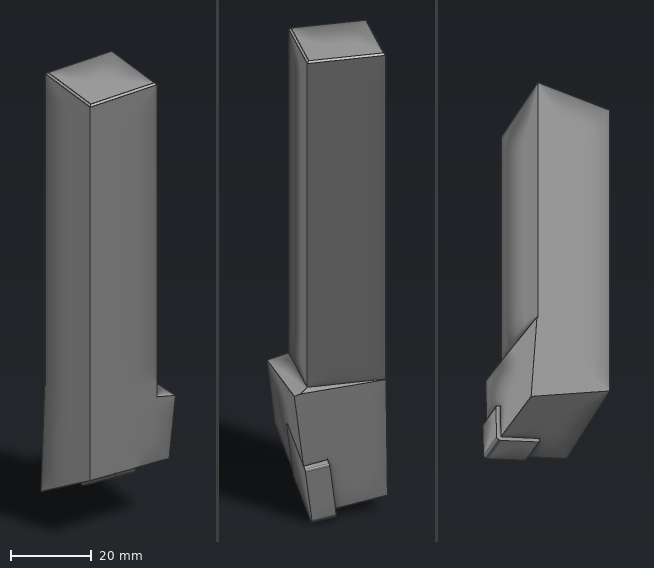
import cadquery as cq
import math

shank_width = 20.0
overall_length = 125.0
end_chamfer = 0.5

head_top = 35.3
ledge_fall = 0.25
side_offset = 0.3
side_lead = math.tan(math.radians(3))
side_relief = math.tan(math.radians(5))
end_height = 17.8
end_slope = math.tan(math.radians(32))
end_relief = 0.055
rake_corner = (shank_width, 25.5, 33.9)
rake_lean_x = 0.075
rake_lean_z = 0.11

insert_angle = 55.0
insert_inscribed_diameter = 12.5
insert_thickness = 6.4
nose_radius = 0.8
nose_x = -4.2
nose_z = 0.8
insert_lead = 3.0

cutter_size = 375.0
rake_normal = cq.Vector(-rake_lean_x, 1, -rake_lean_z)


def trim(body, point, outward):
    """Remove everything on the outward side of a plane."""
    plane = cq.Plane(origin=point, normal=outward)
    cutter = cq.Workplane(plane).rect(cutter_size, cutter_size).extrude(cutter_size)
    return body.cut(cutter)


def rake_y(x, z):
    """Y of the rake face at the given X and Z."""
    corner_x, corner_y, corner_z = rake_corner
    return corner_y + rake_lean_x * (x - corner_x) + rake_lean_z * (z - corner_z)


def make_head():
    margin = shank_width / 2
    head = cq.Workplane("XY").box(
        shank_width + margin, shank_width + margin, head_top, centered=False
    ).translate((-margin, 0, 0))
    head = trim(head, (-side_offset, 0, head_top), (-1, -side_relief, side_lead))
    head = trim(head, rake_corner, rake_normal)
    head = trim(head, (0, 0, head_top), (-ledge_fall, 0, 1))
    return trim(head, (0, shank_width, head_top), (0, ledge_fall, 1))


def make_shank():
    shank = cq.Workplane("XY").box(shank_width, shank_width, overall_length, centered=False)
    return shank.faces(">Z").chamfer(end_chamfer)


def make_insert():
    plane = cq.Plane(
        origin=(nose_x, rake_y(nose_x, nose_z), nose_z),
        xDir=(-1, -rake_lean_x, 0),
        normal=rake_normal,
    )
    side = insert_inscribed_diameter / math.sin(math.radians(insert_angle))
    upper = math.radians(insert_lead)
    lower = math.radians(insert_lead + insert_angle)
    middle = (upper + lower) / 2
    tip_setback = nose_radius / math.sin(math.radians(insert_angle / 2))
    tip = cq.Vector(tip_setback * math.sin(middle), -tip_setback * math.cos(middle))
    upper_edge = cq.Vector(-side * math.sin(upper), side * math.cos(upper))
    lower_edge = cq.Vector(-side * math.sin(lower), side * math.cos(lower))
    corners = [tip, tip + upper_edge, tip + upper_edge + lower_edge, tip + lower_edge]
    plate = cq.Workplane(plane).polyline([(c.x, c.y) for c in corners]).close()
    plate = plate.extrude(-insert_thickness)
    return plate.edges(cq.selectors.ParallelDirSelector(rake_normal)).fillet(nose_radius)


insert = make_insert()
holder = make_shank().union(make_head())
holder = trim(holder, (shank_width, 0, end_height), (end_slope, -end_relief, -1))
holder = holder.cut(insert)

result = cq.Compound.makeCompound([holder.val(), insert.val()])